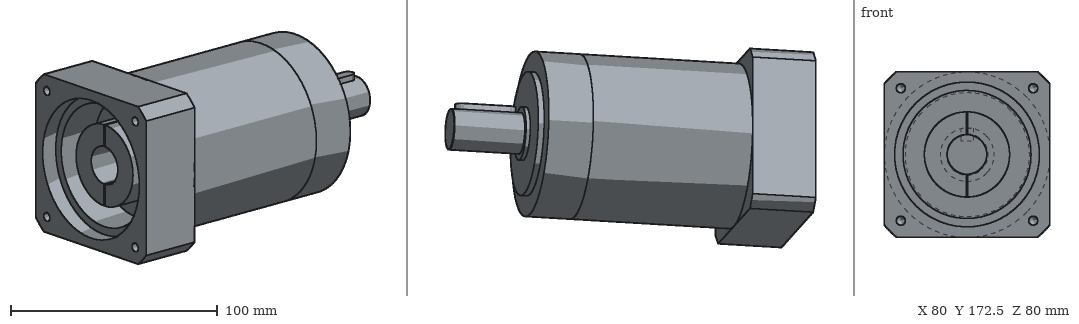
import cadquery as cq
import math


total_length = 172.5
motor_flange_length = 31.4
output_housing_length = 22.0
pilot_length = 3.0
shoulder_length = 2.0
shaft_length = 35.0

shoulder_end_y = total_length - shaft_length
pilot_end_y = shoulder_end_y - shoulder_length
output_face_y = pilot_end_y - pilot_length
ring_end_y = output_face_y - output_housing_length

body_width = 80.0
pilot_diameter = 60.0

corner_diameter = 105.2
motor_pilot_diameter = 70.0
motor_pilot_depth = 8.5
pocket_diameter = 62.0
pocket_depth = 30.0
bolt_spacing = 64.0
bolt_hole_diameter = 4.3
bolt_hole_depth = 15.0
drill_point_angle = 118.0

collar_diameter = 41.2
collar_bore_diameter = 19.1
collar_recess = 8.8
collar_length = pocket_depth - collar_recess
slit_width = 0.9
slit_depth = 15.9

shaft_diameter = 20.0
shoulder_diameter = 25.9
tip_chamfer = 0.3
key_width = 6.0
key_height = key_width
key_length = 30.0
key_tip_gap = 2.8
key_projection = 2.6
key_top_z = shaft_diameter / 2 + key_projection
key_center_y = total_length - key_tip_gap - key_length / 2


def cylinder(diameter, start_y, length):
    """Cylinder on the gearbox axis, running towards +Y from start_y."""
    return cq.Workplane("XZ", origin=(0, start_y, 0)).circle(diameter / 2).extrude(-length)


def make_bolt_hole(x, z):
    """Blind drilled hole from the motor face, ending in a conical drill point."""
    radius = bolt_hole_diameter / 2
    point_length = radius / math.tan(math.radians(drill_point_angle / 2))
    half_section = (
        cq.Workplane("XY")
        .moveTo(0, 0)
        .lineTo(radius, 0)
        .lineTo(radius, bolt_hole_depth)
        .lineTo(0, bolt_hole_depth + point_length)
        .close()
    )
    return half_section.revolve(360, (0, 0, 0), (0, 1, 0)).translate((x, 0, z))


def make_motor_flange():
    """Square flange with turned corners, motor pilot recess, pocket and bolt holes."""
    square = cq.Workplane("XY").box(
        body_width, motor_flange_length, body_width, centered=(True, False, True)
    )
    flange = square.intersect(cylinder(corner_diameter, 0, motor_flange_length))
    flange = flange.cut(cylinder(pocket_diameter, 0, pocket_depth))
    flange = flange.cut(cylinder(motor_pilot_diameter, 0, motor_pilot_depth))
    for x_side in (-1, 1):
        for z_side in (-1, 1):
            hole = make_bolt_hole(x_side * bolt_spacing / 2, z_side * bolt_spacing / 2)
            flange = flange.cut(hole)
    return flange


def make_clamp_collar():
    """Collar inside the flange pocket, bored for the motor shaft and slit above and below."""
    collar = cylinder(collar_diameter, collar_recess, collar_length)
    collar = collar.cut(cylinder(collar_bore_diameter, collar_recess, collar_length))
    slit = cq.Workplane("XY").box(
        slit_width, slit_depth, collar_diameter, centered=(True, False, True)
    )
    return collar.cut(slit.translate((0, collar_recess, 0)))


def make_ring_housing():
    """Plain round gear housing between the motor flange and the output housing."""
    return cylinder(body_width, motor_flange_length, ring_end_y - motor_flange_length)


def make_output_housing():
    """Output-side housing with its centring pilot."""
    housing = cylinder(body_width, ring_end_y, output_housing_length)
    return housing.union(cylinder(pilot_diameter, output_face_y, pilot_length))


def make_key():
    """Parallel key with round ends, standing partly out of the shaft."""
    return (
        cq.Workplane("XY", origin=(0, key_center_y, key_top_z))
        .slot2D(key_length, key_width, 90)
        .extrude(-key_height)
    )


def make_output_shaft(fitted_key):
    """Shaft with a shoulder at its base, a chamfered tip and a seat for the key."""
    shaft = cylinder(shaft_diameter, shoulder_end_y, shaft_length)
    shaft = shaft.faces(">Y").chamfer(tip_chamfer)
    shaft = shaft.union(cylinder(shoulder_diameter, pilot_end_y, shoulder_length))
    return shaft.cut(fitted_key)


motor_flange = make_motor_flange()
clamp_collar = make_clamp_collar()
ring_housing = make_ring_housing()
output_housing = make_output_housing()
key = make_key()
output_shaft = make_output_shaft(key)

result = cq.Compound.makeCompound([
    motor_flange.val(),
    clamp_collar.val(),
    ring_housing.val(),
    output_housing.val(),
    output_shaft.val(),
    key.val(),
])